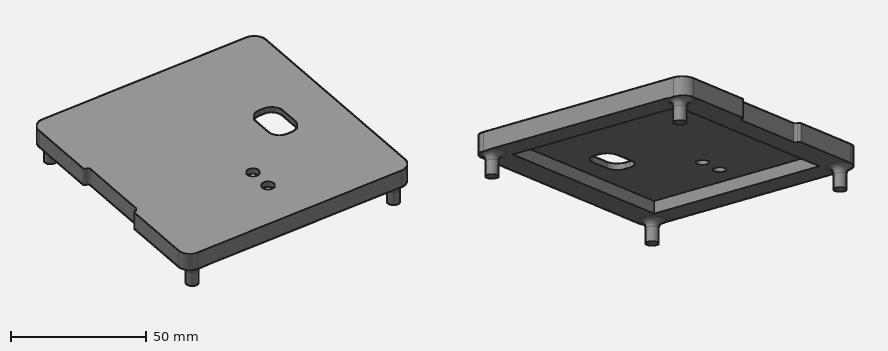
import cadquery as cq

PLATE_SIDE = 101.6
PLATE_THICKNESS = 7.5
CORNER_RADIUS = 5.2
TOP_SKIN = 2.5

TOTAL_HEIGHT = 16.5
PIN_LENGTH = TOTAL_HEIGHT - PLATE_THICKNESS
PIN_RADIUS = 5.0 / 2
PIN_X = 46.4
PIN_Y = 45.1
FLARE_RADIUS = 2.9

WINDOW_LENGTH = 18.0
WINDOW_WIDTH = 12.0
WINDOW_CORNER_RADIUS = 5.0
WINDOW_CENTER = (-1.2, 24.8)

HOLE_DIAMETER = 5.0
HOLE_Y = -0.3
FIRST_HOLE_X = 20.7
HOLE_SPACING = 10.0

NOTCH_FLOOR_LENGTH = 30.0
NOTCH_ARC_RADIUS = 1.0
NOTCH_DEPTH = 2 * NOTCH_ARC_RADIUS


def make_rounded_block(bottom, top):
    """Build a block with the plate's rounded outline between two heights."""
    block = cq.Workplane("XY", origin=(0, 0, bottom)).box(
        PLATE_SIDE, PLATE_SIDE, top - bottom, centered=(True, True, False)
    )
    return block.edges("|Z").fillet(CORNER_RADIUS)


def make_pin(x, y):
    """Revolve a pin with its flare about a vertical axis through (x, y)."""
    flare_end = PIN_RADIUS + FLARE_RADIUS
    profile = (
        cq.Workplane("XZ")
        .moveTo(0, -PIN_LENGTH)
        .lineTo(PIN_RADIUS, -PIN_LENGTH)
        .lineTo(PIN_RADIUS, -FLARE_RADIUS)
        .radiusArc((flare_end, 0), FLARE_RADIUS)
        .lineTo(flare_end, PLATE_THICKNESS / 2)
        .lineTo(0, PLATE_THICKNESS / 2)
        .close()
    )
    return profile.revolve(360, (0, 0, 0), (0, 1, 0)).translate((x, y, 0))


def make_underside_pocket():
    """Hollow the underside up to the top skin, leaving a border wide enough for the flares."""
    flare_reach = PIN_RADIUS + FLARE_RADIUS
    length = 2 * (PIN_X - flare_reach)
    width = 2 * (PIN_Y - flare_reach)
    return cq.Workplane("XY").rect(length, width).extrude(PLATE_THICKNESS - TOP_SKIN)


def make_window():
    window = cq.Workplane("XY").center(*WINDOW_CENTER).rect(WINDOW_LENGTH, WINDOW_WIDTH)
    return window.extrude(PLATE_THICKNESS).edges("|Z").fillet(WINDOW_CORNER_RADIUS)


def make_holes():
    centers = [(FIRST_HOLE_X + i * HOLE_SPACING, HOLE_Y) for i in range(2)]
    return cq.Workplane("XY").pushPoints(centers).circle(HOLE_DIAMETER / 2).extrude(PLATE_THICKNESS)


def make_notch():
    edge_y = -PLATE_SIDE / 2
    middle_y = edge_y + NOTCH_ARC_RADIUS
    floor_y = edge_y + NOTCH_DEPTH
    floor_x = NOTCH_FLOOR_LENGTH / 2
    wall_x = floor_x + NOTCH_ARC_RADIUS
    mouth_x = wall_x + NOTCH_ARC_RADIUS
    outline = (
        cq.Workplane("XY")
        .moveTo(-mouth_x, edge_y)
        .radiusArc((-wall_x, middle_y), -NOTCH_ARC_RADIUS)
        .radiusArc((-floor_x, floor_y), NOTCH_ARC_RADIUS)
        .lineTo(floor_x, floor_y)
        .radiusArc((wall_x, middle_y), NOTCH_ARC_RADIUS)
        .radiusArc((mouth_x, edge_y), -NOTCH_ARC_RADIUS)
        .close()
    )
    return outline.extrude(PLATE_THICKNESS)


plate = make_rounded_block(0, PLATE_THICKNESS)

envelope = make_rounded_block(-PIN_LENGTH, PLATE_THICKNESS)
for x in (-PIN_X, PIN_X):
    for y in (-PIN_Y, PIN_Y):
        plate = plate.union(make_pin(x, y).intersect(envelope))

result = plate.cut(make_underside_pocket())
result = result.cut(make_window()).cut(make_holes()).cut(make_notch())